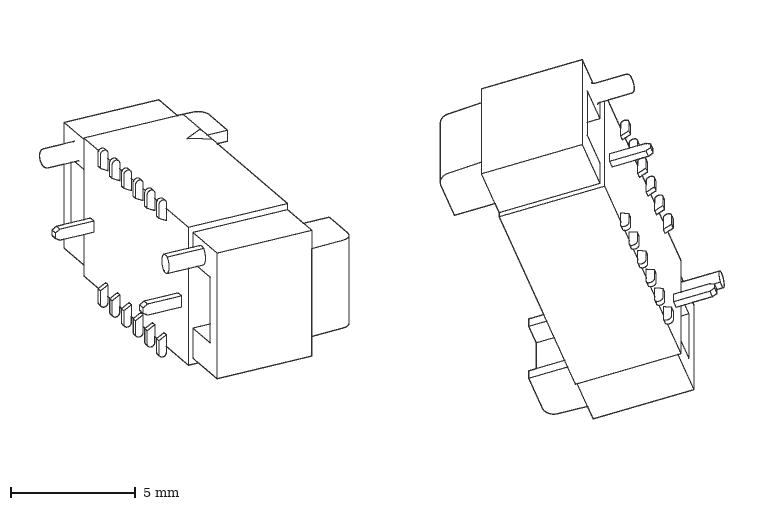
import cadquery as cq
import math


block_width = 8.95
block_height = 6.2
block_back_y = 4.5
overall_width = 13.1
overall_height = 7.05
end_height = 5.65
end_front_y = 0.2

slot_outer_x = 5.95
slot_height = 2.95

ear_outer_x = 6.5
ear_inner_x = 4.35
ear_length = 1.95
ear_draft_angle = 3.0
ear_corner_radius = 0.5
ear_plate_thickness = 0.5
ear_slot_outer_x = 5.23
ear_height = slot_height + 2 * ear_plate_thickness

peg_x = 5.25
peg_z = 2.15
peg_end_y = -1.45
peg_radius = 0.4
peg_root_fillet = 0.15
peg_tip_round = 0.15
oval_peg_half_width = 0.31
oval_peg_crown_half_width = 0.15

contacts_per_row = 6
contact_pitch = 1.0
contact_thickness = 0.21
contact_depth = 0.35
contact_outer_z = overall_height / 2
contact_inner_z = 2.56
contact_inner_slant = 0.19

hold_down_x = 3.75
hold_down_z = -0.485
hold_down_width = 0.3
hold_down_height = 0.5
hold_down_end_y = -1.75
hold_down_tip_length = 0.2
hold_down_tip_inset = 0.125

marker_side = 1.0
marker_thickness = 0.1
first_contact_x = -(contacts_per_row - 1) * contact_pitch / 2


def box(x_min, x_max, y_min, y_max, z_min, z_max):
    """Axis-aligned box between the given limits."""
    size = (x_max - x_min, y_max - y_min, z_max - z_min)
    return cq.Workplane("XY").box(*size, centered=False).translate((x_min, y_min, z_min))


def centred_box(half_width, y_min, y_max, height):
    """Box symmetric about X = 0 and Z = 0."""
    return box(-half_width, half_width, y_min, y_max, -height / 2, height / 2)


def mirrored_pair(right_side):
    """The given solid together with its mirror image across X = 0."""
    return right_side.union(right_side.mirror("YZ"))


def ear():
    """Right-hand guide ear: tapered outer side, rounded outer corner, open slot."""
    tip_y = block_back_y + ear_length
    tip_x = ear_outer_x - ear_length * math.tan(math.radians(ear_draft_angle))
    plate = (
        cq.Workplane("XY")
        .workplane(offset=-ear_height / 2)
        .moveTo(ear_inner_x, block_back_y)
        .lineTo(ear_outer_x, block_back_y)
        .lineTo(tip_x, tip_y)
        .lineTo(ear_inner_x, tip_y)
        .close()
        .extrude(ear_height)
        .faces(">Y")
        .edges(">X")
        .fillet(ear_corner_radius)
    )
    slot = box(ear_inner_x, ear_slot_outer_x, block_back_y, tip_y, -slot_height / 2, slot_height / 2)
    return plate.cut(slot)


def end_slot():
    """Right-hand slot through an end block, from its outer wall to the block."""
    return box(
        block_width / 2, slot_outer_x, end_front_y, block_back_y, -slot_height / 2, slot_height / 2
    )


def round_peg():
    """Left-hand peg: round, flared at the root and rounded at the tip."""
    diagonal = math.sqrt(0.5)
    root_centre_radius = peg_radius + peg_root_fillet
    root_centre_y = end_front_y - peg_root_fillet
    tip_centre_radius = peg_radius - peg_tip_round
    tip_centre_y = peg_end_y + peg_tip_round
    root_middle = (
        root_centre_radius - peg_root_fillet * diagonal,
        root_centre_y + peg_root_fillet * diagonal,
    )
    tip_middle = (
        tip_centre_radius + peg_tip_round * diagonal,
        tip_centre_y - peg_tip_round * diagonal,
    )
    return (
        cq.Workplane("XY")
        .moveTo(0, end_front_y)
        .lineTo(root_centre_radius, end_front_y)
        .threePointArc(root_middle, (peg_radius, root_centre_y))
        .lineTo(peg_radius, tip_centre_y)
        .threePointArc(tip_middle, (tip_centre_radius, peg_end_y))
        .lineTo(0, peg_end_y)
        .close()
        .revolve(360, (0, 0), (0, 1))
        .translate((-peg_x, 0, peg_z))
    )


def oval_peg():
    """Right-hand peg: crown arcs above and below, flatter arcs at the sides."""
    crown_x = oval_peg_crown_half_width
    crown_z = math.sqrt(peg_radius**2 - crown_x**2)
    return (
        cq.Workplane("XZ", origin=(peg_x, end_front_y, peg_z))
        .moveTo(-crown_x, crown_z)
        .threePointArc((0, peg_radius), (crown_x, crown_z))
        .threePointArc((oval_peg_half_width, 0), (crown_x, -crown_z))
        .threePointArc((0, -peg_radius), (-crown_x, -crown_z))
        .threePointArc((-oval_peg_half_width, 0), (-crown_x, crown_z))
        .close()
        .extrude(end_front_y - peg_end_y)
    )


def upper_contact(x):
    """Contact of the upper row: sloped inner end, semicircular outer end."""
    tip_radius = contact_depth / 2
    tip_start_z = contact_outer_z - tip_radius
    return (
        cq.Workplane("YZ", origin=(x, 0, 0))
        .moveTo(0, contact_inner_z)
        .lineTo(0, tip_start_z)
        .threePointArc((-tip_radius, contact_outer_z), (-contact_depth, tip_start_z))
        .lineTo(-contact_depth, contact_inner_z + contact_inner_slant)
        .close()
        .extrude(contact_thickness / 2, both=True)
    )


def hold_down_pin():
    """Right-hand hold-down pin, with its tip chamfered above and below."""
    return (
        box(
            hold_down_x - hold_down_width / 2,
            hold_down_x + hold_down_width / 2,
            hold_down_end_y,
            0,
            hold_down_z - hold_down_height / 2,
            hold_down_z + hold_down_height / 2,
        )
        .faces("<Y")
        .edges("|X")
        .chamfer(hold_down_tip_inset, hold_down_tip_length)
    )


def pin_one_marker():
    """Triangular plate above the first contact, flush with the top and rear faces."""
    marker_length = marker_side * math.sqrt(3) / 2
    return (
        cq.Workplane("XY", origin=(first_contact_x, block_back_y, block_height / 2))
        .moveTo(-marker_side / 2, 0)
        .lineTo(marker_side / 2, 0)
        .lineTo(0, -marker_length)
        .close()
        .extrude(-marker_thickness)
    )


def connector_housing():
    """Block, end blocks, ears, pegs, contacts and hold-down pins as one solid."""
    body = centred_box(overall_width / 2, end_front_y, block_back_y, end_height)
    body = body.union(centred_box(block_width / 2, 0, block_back_y, block_height))
    body = body.cut(mirrored_pair(end_slot()))
    body = body.union(mirrored_pair(ear()))
    body = body.union(round_peg()).union(oval_peg())
    body = body.union(mirrored_pair(hold_down_pin()))
    for index in range(contacts_per_row):
        contact = upper_contact(first_contact_x + index * contact_pitch)
        body = body.union(contact).union(contact.mirror("XY"))
    return body


marker = pin_one_marker()
housing = connector_housing().cut(marker)

result = cq.Compound.makeCompound([*housing.solids().vals(), marker.val()])